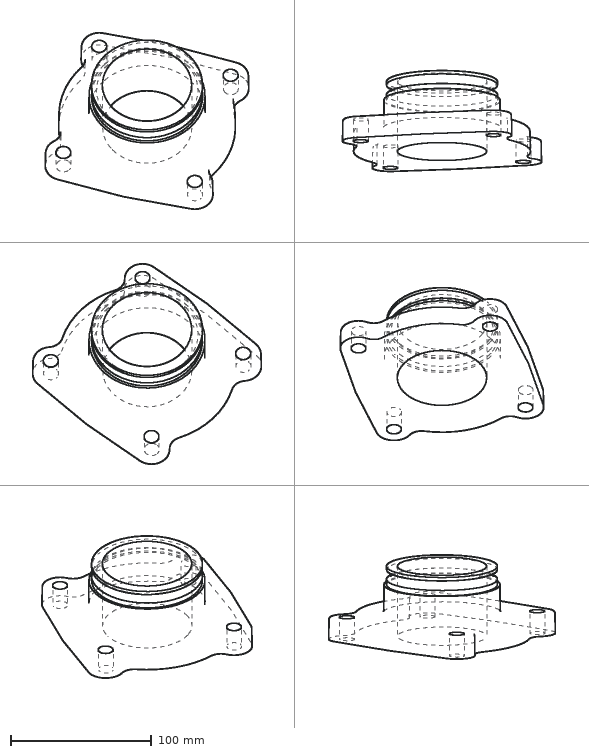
import cadquery as cq
import math

flange_height = 15.8
flange_edge_fillet = 1.5
draft_angle = 1.0
side_radius = 63.0
peak_y = 63.8
bolt_offset = 48.5
bolt_hole_diameter = 10.6
lug_radius = 13.0
waist_radius = 10.0

total_height = 50.8
bore_radius = 31.8
collar_radius = 41.3
collar_top = 37.4
spigot_radius = 39.5
root_fillet = 3.2
groove_radius = 3.5
groove_center_z = 44.8


def point_at(center, radius, angle):
    """Point on a circle at an angle in radians."""
    return (center[0] + radius * math.cos(angle), center[1] + radius * math.sin(angle))


def make_flange():
    """Plate with four lugs: one quadrant outline, mirrored, drafted and rounded along its top edge."""
    lug = (bolt_offset, bolt_offset)

    lug_distance = math.hypot(*lug)
    waist_distance = side_radius + waist_radius
    lug_to_waist = lug_radius + waist_radius
    cos_spread = (waist_distance**2 + lug_distance**2 - lug_to_waist**2) / (2 * waist_distance * lug_distance)
    waist_angle = math.atan2(lug[1], lug[0]) - math.acos(cos_spread)
    waist = point_at((0, 0), waist_distance, waist_angle)
    lug_to_waist_angle = math.atan2(waist[1] - lug[1], waist[0] - lug[0])
    waist_start_angle = waist_angle + math.pi
    waist_end_angle = lug_to_waist_angle + math.pi

    to_peak_angle = math.atan2(peak_y - lug[1], -lug[0])
    peak_distance = math.hypot(lug[0], peak_y - lug[1])
    tangent_angle = to_peak_angle - math.acos(lug_radius / peak_distance)

    plate = (
        cq.Workplane("XY")
        .moveTo(side_radius, 0)
        .threePointArc(
            point_at((0, 0), side_radius, waist_angle / 2),
            point_at((0, 0), side_radius, waist_angle),
        )
        .threePointArc(
            point_at(waist, waist_radius, (waist_start_angle + waist_end_angle) / 2),
            point_at(lug, lug_radius, lug_to_waist_angle),
        )
        .threePointArc(
            point_at(lug, lug_radius, (lug_to_waist_angle + tangent_angle) / 2),
            point_at(lug, lug_radius, tangent_angle),
        )
        .lineTo(0, peak_y)
        .mirrorY()
        .mirrorX()
        .extrude(flange_height, taper=draft_angle)
    )
    return plate.faces(">Z").edges().fillet(flange_edge_fillet)


def make_neck():
    """Stepped neck with a concave root fillet and a round groove near its top."""
    fillet_top = flange_height + root_fillet
    fillet_reach = root_fillet * (1 - math.sqrt(0.5))
    return (
        cq.Workplane("XZ")
        .lineTo(collar_radius + root_fillet, 0)
        .lineTo(collar_radius + root_fillet, flange_height)
        .threePointArc(
            (collar_radius + fillet_reach, flange_height + fillet_reach),
            (collar_radius, fillet_top),
        )
        .lineTo(collar_radius, collar_top)
        .lineTo(spigot_radius, collar_top)
        .lineTo(spigot_radius, groove_center_z - groove_radius)
        .threePointArc(
            (spigot_radius - groove_radius, groove_center_z),
            (spigot_radius, groove_center_z + groove_radius),
        )
        .lineTo(spigot_radius, total_height)
        .lineTo(0, total_height)
        .close()
        .revolve(360, (0, 0, 0), (0, 1, 0))
    )


bore = cq.Workplane("XY").circle(bore_radius).extrude(total_height)
bolt_holes = (
    cq.Workplane("XY")
    .rect(2 * bolt_offset, 2 * bolt_offset, forConstruction=True)
    .vertices()
    .circle(bolt_hole_diameter / 2)
    .extrude(flange_height)
)

result = make_flange().union(make_neck()).cut(bore).cut(bolt_holes)